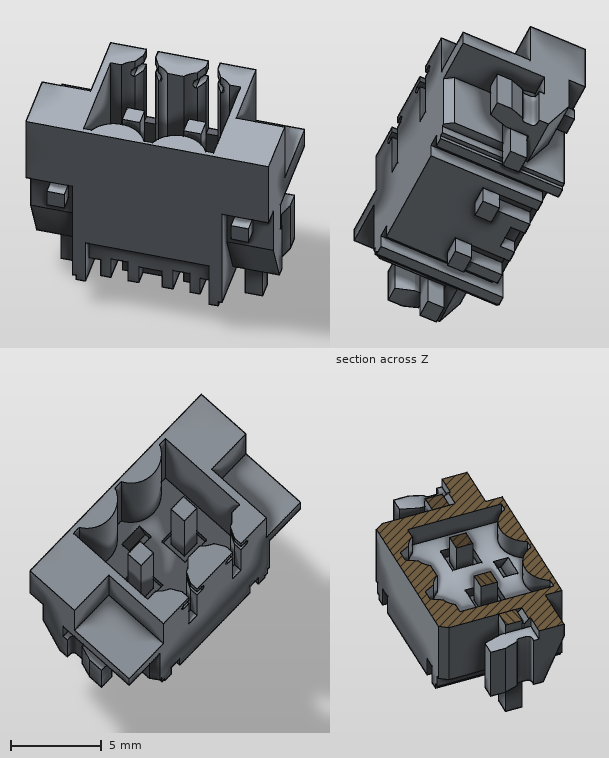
import cadquery as cq
import math


LENGTH = 13.85
DEPTH = 7.45
HEIGHT = 11.07
BODY_WIDTH = 8.31
FOOT_WIDTH = 8.55
STEP_HEIGHT = 0.3
STEP_INSET = 0.22

PITCH = 3.5
PIN = 1.0
PIN_BOTTOM = -1.48
PIN_Y = 3.5
CONTACT_X = PITCH / 2
CONTACT_TOP = 9.72
ANCHOR_X = 1.5 * PITCH
ANCHOR_FRONT = 0.1
BEND_INNER = 0.5
BEND_OUTER = BEND_INNER + PIN

EAR_DEPTH = 3.35
EAR_BOTTOM = 6.88
FLANGE_TOP = 7.3
FLANGE_BOTTOM = 6.07
WING_FRONT = 0.98
WING_BACK = 2.49
WING_BOTTOM = 1.02
SLOPE_TOP = 3.97
SLOPE_FOOT_Y = 2.25
SIDE_WALL_X = ANCHOR_X - PIN / 2
SIDE_CHAMFER_X = 0.33
SIDE_CHAMFER_Y = 0.5
SUPPORT_BACK = 2.9
SUPPORT_TOP = 4.92
SUPPORT_CHAMFER = SUPPORT_BACK - WING_BACK

POST_TOP = 4.22
POST_INNER_X = ANCHOR_X + PIN / 2
POST_END_Y = 5.37
POST_END_X = 6.1
POST_INNER_CURVE_Y = 4.3
POST_FLAT_Y = 4.49
POST_LIP_X = 6.65
POST_LIP_Y = 3.67
GROOVE_FLOOR_X = 6.45
GROOVE_LIP_RADIUS = POST_LIP_X - GROOVE_FLOOR_X
GROOVE_BACK_RADIUS = 0.28
GROOVE_FRONT_Y = 2.81

CELL_X = 1.77
SOCKET_WIDTH = 7.42
SOCKET_FLOOR = 3.6
SOCKET_FRONT = 0.29
SOCKET_BACK = 5.86
RIB_GAP_FRONT = 0.2
RIB_RADIUS = 1.68
RIB_PEAK_Y = 1.18
RIB_CENTRE_Y = RIB_PEAK_Y - RIB_RADIUS

KEYWAY_BACK = 6.97
KEYWAY_KNEE_Y = 6.35
KEYWAY_KNEE_X = 0.66
KEYWAY_MOUTH_X = 1.3
KEYWAY_BULGE = 0.07
SLOT_WIDTH = 0.66
SLOT_BOTTOM = FLANGE_BOTTOM
WINDOW_EDGE_X = 0.73
WINDOW_END_X = 0.89
WINDOW_HEIGHT = 0.58
WINDOW_Z = 10.24

PIN_POCKET = 1.75
POCKET_DEPTH = 0.55
KEY_POCKET_WIDTH = 1.41
KEY_POCKET_FRONT = 1.14
KEY_POCKET_SLOPE_FOOT = 1.58
KEY_POCKET_BACK = 2.01

RECESS_WIDTH = 7.04
RECESS_DEPTH = 0.66
RECESS_TOP = 2.85
CHANNEL_INNER_X = 2.84
CHANNEL_TOP = 1.18
PIN_SLOT_WIDTH = 0.97
PIN_SLOT_TOP = 1.38
NOTCH_WIDTH = 1.33
NOTCH_BACK = 1.54

SIDES = (-1, 1)


def block(x0, x1, y0, y1, z0, z1):
    """Box between two opposite corners."""
    return cq.Workplane("XY").box(x1 - x0, y1 - y0, z1 - z0, centered=False).translate((x0, y0, z0))


def centred_block(x, width, y0, y1, z0, z1):
    """Box of a given width centred on x."""
    return block(x - width / 2, x + width / 2, y0, y1, z0, z1)


def on_side(shape, side):
    """Shape drawn at the +X end, mirrored for the -X end."""
    return shape if side > 0 else shape.mirror("YZ")


def contact_pin(x):
    return centred_block(x, PIN, PIN_Y - PIN / 2, PIN_Y + PIN / 2, PIN_BOTTOM, CONTACT_TOP)


def anchor_pin(side):
    """Square wire that leaves the front of the wing, bends and runs down behind it."""
    front = PIN_Y - PIN / 2
    back = PIN_Y + PIN / 2
    top = FLANGE_BOTTOM
    under = top - PIN
    bend_y = back - BEND_OUTER
    bend_z = top - BEND_OUTER
    diagonal = math.sqrt(0.5)
    profile = (
        cq.Workplane("YZ")
        .moveTo(ANCHOR_FRONT, under)
        .lineTo(bend_y, under)
        .threePointArc((bend_y + BEND_INNER * diagonal, bend_z + BEND_INNER * diagonal), (front, bend_z))
        .lineTo(front, PIN_BOTTOM)
        .lineTo(back, PIN_BOTTOM)
        .lineTo(back, bend_z)
        .threePointArc((bend_y + BEND_OUTER * diagonal, bend_z + BEND_OUTER * diagonal), (bend_y, top))
        .lineTo(ANCHOR_FRONT, top)
        .close()
    )
    return profile.extrude(PIN / 2, both=True).translate((side * ANCHOR_X, 0, 0))


def wing():
    """Sloped wing that carries the anchor pin."""
    outline = [
        (WING_FRONT, FLANGE_BOTTOM),
        (WING_FRONT, SLOPE_TOP),
        (SLOPE_FOOT_Y, WING_BOTTOM),
        (WING_BACK, WING_BOTTOM),
        (WING_BACK, FLANGE_BOTTOM),
    ]
    return cq.Workplane("YZ").polyline(outline).close().extrude(LENGTH / 2)


def bend_support():
    """Chamfered block between the wing and the upright of the anchor pin."""
    outline = [
        (WING_BACK, WING_BOTTOM),
        (SUPPORT_BACK, WING_BOTTOM),
        (SUPPORT_BACK, SUPPORT_TOP - SUPPORT_CHAMFER),
        (WING_BACK, SUPPORT_TOP),
    ]
    return cq.Workplane("YZ").polyline(outline).close().extrude(POST_INNER_X)


def side_wall():
    """Thickened side of the body with a chamfered back corner."""
    outline = [
        (0, WING_BACK),
        (SIDE_WALL_X, WING_BACK),
        (SIDE_WALL_X, DEPTH - SIDE_CHAMFER_Y),
        (SIDE_WALL_X - SIDE_CHAMFER_X, DEPTH),
        (0, DEPTH),
    ]
    wall = cq.Workplane("XY").polyline(outline).close().extrude(FLANGE_BOTTOM - WING_BOTTOM)
    return wall.translate((0, 0, WING_BOTTOM))


def post():
    """Hooked post behind the wing, with a vertical groove in its outer face."""
    end = LENGTH / 2
    groove_back_y = GROOVE_FRONT_Y + GROOVE_BACK_RADIUS
    lip_foot_y = POST_LIP_Y - GROOVE_LIP_RADIUS
    outline = (
        cq.Workplane("XY")
        .moveTo(POST_INNER_X, WING_BACK)
        .lineTo(end, WING_BACK)
        .lineTo(end, GROOVE_FRONT_Y)
        .lineTo(GROOVE_FLOOR_X + GROOVE_BACK_RADIUS, GROOVE_FRONT_Y)
        .radiusArc((GROOVE_FLOOR_X, groove_back_y), GROOVE_BACK_RADIUS)
        .lineTo(GROOVE_FLOOR_X, lip_foot_y)
        .radiusArc((POST_LIP_X, POST_LIP_Y), GROOVE_LIP_RADIUS)
        .lineTo(end, POST_FLAT_Y)
        .lineTo(end, POST_END_Y)
        .lineTo(POST_END_X, POST_END_Y)
        .lineTo(POST_INNER_X, POST_INNER_CURVE_Y)
        .close()
    )
    return outline.extrude(POST_TOP - WING_BOTTOM).translate((0, 0, WING_BOTTOM))


def housing_shell():
    shell = centred_block(0, BODY_WIDTH, 0, DEPTH, FLANGE_BOTTOM, HEIGHT)
    shell = shell.union(centred_block(0, LENGTH, 0, EAR_DEPTH, EAR_BOTTOM, HEIGHT))
    shell = shell.union(centred_block(0, LENGTH, WING_FRONT, DEPTH, FLANGE_BOTTOM, FLANGE_TOP))
    shell = shell.union(centred_block(0, FOOT_WIDTH, 0, DEPTH, STEP_HEIGHT, FLANGE_TOP))
    shell = shell.union(centred_block(0, FOOT_WIDTH - 2 * STEP_INSET, 0, DEPTH, 0, STEP_HEIGHT))
    for side in SIDES:
        for piece in (wing(), bend_support(), side_wall(), post()):
            shell = shell.union(on_side(piece, side))
    return shell


def socket():
    """Cavity around the contact pins, narrowed by two round ribs on the front wall."""
    cavity = centred_block(0, SOCKET_WIDTH, SOCKET_FRONT, SOCKET_BACK, SOCKET_FLOOR, HEIGHT)
    cavity = cavity.union(centred_block(0, 2 * CELL_X, RIB_GAP_FRONT, SOCKET_BACK, SOCKET_FLOOR, HEIGHT))
    for side in SIDES:
        rib = cq.Workplane("XY").circle(RIB_RADIUS).extrude(HEIGHT)
        cavity = cavity.cut(rib.translate((side * CELL_X, RIB_CENTRE_Y, 0)))
    return cavity


def keyway(x):
    """Flared keyway in the back wall, with a slot behind it and a bow-ended window across it."""
    middle_x = (KEYWAY_KNEE_X + KEYWAY_MOUTH_X) / 2
    middle_y = (KEYWAY_KNEE_Y + SOCKET_BACK) / 2 + KEYWAY_BULGE
    half_slot = SLOT_WIDTH / 2
    half_window = WINDOW_HEIGHT / 2
    flare = (
        cq.Workplane("XY")
        .moveTo(-KEYWAY_MOUTH_X, SOCKET_BACK)
        .threePointArc((-middle_x, middle_y), (-KEYWAY_KNEE_X, KEYWAY_KNEE_Y))
        .lineTo(-half_slot, KEYWAY_BACK)
        .lineTo(half_slot, KEYWAY_BACK)
        .lineTo(KEYWAY_KNEE_X, KEYWAY_KNEE_Y)
        .threePointArc((middle_x, middle_y), (KEYWAY_MOUTH_X, SOCKET_BACK))
        .close()
        .extrude(HEIGHT - SOCKET_FLOOR)
        .translate((0, 0, SOCKET_FLOOR))
    )
    slot = centred_block(0, SLOT_WIDTH, KEYWAY_BACK, DEPTH, SLOT_BOTTOM, HEIGHT)
    window = (
        cq.Workplane("XZ")
        .moveTo(-WINDOW_EDGE_X, -half_window)
        .lineTo(WINDOW_EDGE_X, -half_window)
        .threePointArc((WINDOW_END_X, 0), (WINDOW_EDGE_X, half_window))
        .lineTo(-WINDOW_EDGE_X, half_window)
        .threePointArc((-WINDOW_END_X, 0), (-WINDOW_EDGE_X, -half_window))
        .close()
        .extrude(SOCKET_BACK - DEPTH)
        .translate((0, SOCKET_BACK, WINDOW_Z))
    )
    return flare.union(slot).union(window).translate((x, 0, 0))


def pin_pocket(x):
    """Square pocket in the socket floor around a contact pin."""
    half = PIN_POCKET / 2
    return centred_block(x, PIN_POCKET, PIN_Y - half, PIN_Y + half, SOCKET_FLOOR - POCKET_DEPTH, SOCKET_FLOOR)


def key_pocket():
    """Pocket in the socket floor with a sloped front side."""
    outline = [
        (KEY_POCKET_FRONT, SOCKET_FLOOR),
        (KEY_POCKET_SLOPE_FOOT, SOCKET_FLOOR - POCKET_DEPTH),
        (KEY_POCKET_BACK, SOCKET_FLOOR - POCKET_DEPTH),
        (KEY_POCKET_BACK, SOCKET_FLOOR),
    ]
    return cq.Workplane("YZ").polyline(outline).close().extrude(KEY_POCKET_WIDTH / 2, both=True)


def underside_cuts():
    """Front recess, two channels through the full depth, pin slots and the middle notch."""
    cuts = centred_block(0, RECESS_WIDTH, 0, RECESS_DEPTH, 0, RECESS_TOP)
    cuts = cuts.union(centred_block(0, NOTCH_WIDTH, 0, NOTCH_BACK, 0, CHANNEL_TOP))
    for side in SIDES:
        channel = block(CHANNEL_INNER_X, RECESS_WIDTH / 2, 0, DEPTH, 0, CHANNEL_TOP)
        cuts = cuts.union(on_side(channel, side))
        cuts = cuts.union(centred_block(side * CELL_X, PIN_SLOT_WIDTH, 0, PIN_Y, 0, PIN_SLOT_TOP))
    return cuts


contact_pins = [contact_pin(side * CONTACT_X) for side in SIDES]
anchor_pins = [anchor_pin(side) for side in SIDES]

housing = housing_shell().cut(socket()).cut(key_pocket()).cut(underside_cuts())
for side in SIDES:
    housing = housing.cut(keyway(side * CELL_X)).cut(pin_pocket(side * CELL_X))
for pin in contact_pins + anchor_pins:
    housing = housing.cut(pin)

result = cq.Compound.makeCompound(
    [housing.val(), *[pin.val() for pin in contact_pins], *[pin.val() for pin in anchor_pins]]
)